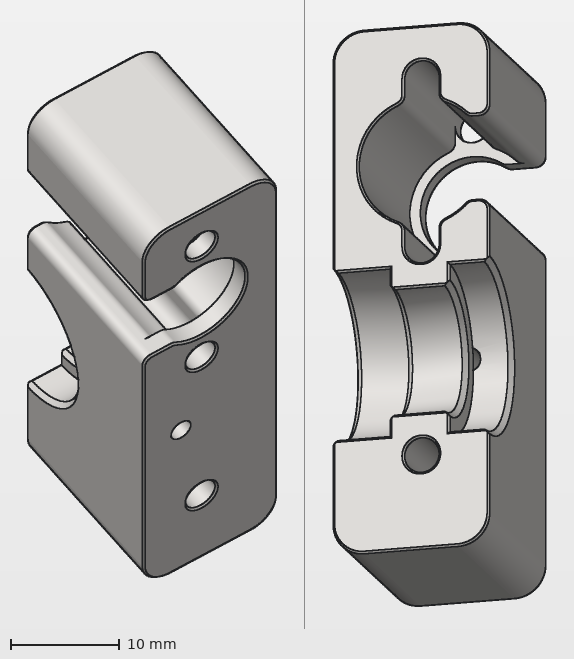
import cadquery as cq

split_axis_x = 0.0
parting_gap = 0.1
back_x = 19.0
width = 15.0
height = 50.0
corner_radius = 3.0
edge_chamfer = 0.2
front_x = split_axis_x + parting_gap
length = back_x - front_x

bearing_z = 19.0
bearing_radius = 8.0
ridge_radius = 6.0
ridge_front_y = -3.7
ridge_back_y = 2.05
bore_chamfer = 0.5

hole_y = -1.0
rod_z = 37.0
pocket_radius = 6.0
lip_thickness = 2.0
lip_bore_radius = 5.0
mouth_half_height = 4.0
mouth_fillet = 1.0
junction_fillet = 1.0

screw_radius = 1.65
screw_offset = 8.0
lower_screw_z = 9.0

vent_radius = 1.1
vent_y = -3.3
vent_z = 20.0


def rod_along_x(y, z, radius, start, end):
    """Solid cylinder along X from start to end."""
    return cq.Workplane("YZ", origin=(start, y, z)).circle(radius).extrude(end - start)


def box_between(x_range, y_range, z_range):
    """Solid box spanning the given ranges."""
    corner = (x_range[0], y_range[0], z_range[0])
    sizes = [high - low for low, high in (x_range, y_range, z_range)]
    return cq.Workplane("XY", origin=corner).box(*sizes, centered=False)


def ring_along_y(start_y, start_radius, end_y, end_radius):
    """Solid cylinder or cone on the bearing axis."""
    profile = [(0, start_y), (start_radius, start_y), (end_radius, end_y), (0, end_y)]
    return (
        cq.Workplane("XY", origin=(split_axis_x, 0, bearing_z))
        .polyline(profile)
        .close()
        .revolve(360, (0, 0, 0), (0, 1, 0))
    )


def make_block():
    middle = (front_x + length / 2, 0, height / 2)
    return cq.Workplane("XY", origin=middle).box(length, width, height).edges("|X").fillet(corner_radius)


def make_mouth(start, end):
    """Opening from the rod axis out through the -Y side."""
    return box_between(
        (start, end),
        (-width / 2, hole_y),
        (rod_z - mouth_half_height, rod_z + mouth_half_height),
    )


def fillet_junctions(cavity):
    """Round the lengthwise edges where the mouth and slots run into the round cavity."""
    junctions = cq.selectors.BoxSelector(
        (front_x, hole_y - pocket_radius, rod_z - pocket_radius),
        (back_x, hole_y + pocket_radius / 2, rod_z + pocket_radius),
    )
    return cavity.edges("|X").edges(junctions).fillet(junction_fillet)


def make_pocket():
    """Rod clearance with its mouth and a slot out to each neighbouring screw hole."""
    end_x = back_x - lip_thickness
    slot = box_between(
        (front_x, end_x),
        (hole_y - screw_radius, hole_y + screw_radius),
        (rod_z - screw_offset, rod_z + screw_offset),
    )
    round_cavity = rod_along_x(hole_y, rod_z, pocket_radius, front_x, end_x)
    return fillet_junctions(round_cavity.union(slot).union(make_mouth(front_x, end_x)))


def make_lip_bore():
    """Smaller bore and its mouth through the lip."""
    start_x = back_x - lip_thickness
    bore = rod_along_x(hole_y, rod_z, lip_bore_radius, start_x, back_x)
    return fillet_junctions(bore.union(make_mouth(start_x, back_x)))


def cut_rod_seat(body):
    body = body.cut(make_pocket()).cut(make_lip_bore())
    mouth_corners = cq.selectors.BoxSelector(
        (front_x, -width / 2 - 0.5, rod_z - mouth_half_height - 0.5),
        (back_x, -width / 2 + 0.5, rod_z + mouth_half_height + 0.5),
    )
    return body.edges("|X").edges(mouth_corners).fillet(mouth_fillet)


def cut_screw_holes(body):
    for screw_z in (lower_screw_z, rod_z - screw_offset, rod_z + screw_offset):
        body = body.cut(rod_along_x(hole_y, screw_z, screw_radius, front_x, back_x))
    return body


def cut_bearing_bore(body):
    seats = [(-width / 2, ridge_front_y), (ridge_back_y, width / 2)]
    for seat_start, seat_end in seats:
        body = body.cut(ring_along_y(seat_start, bearing_radius, seat_end, bearing_radius))
    return body.cut(ring_along_y(ridge_front_y, ridge_radius, ridge_back_y, ridge_radius))


def chamfer_bearing_bore(body):
    """Conical chamfers, each widest at its wide_y end and narrowing along step."""
    rims = [
        (-width / 2, 1, bearing_radius),
        (ridge_front_y, 1, ridge_radius),
        (ridge_back_y, -1, ridge_radius),
        (width / 2, -1, bearing_radius),
    ]
    for wide_y, step, radius in rims:
        narrow_y = wide_y + step * bore_chamfer
        body = body.cut(ring_along_y(wide_y, radius + bore_chamfer, narrow_y, radius))
    return body


def cut_vent(body):
    """Drill from the back only as far as the bearing seat surface, leaving the ridge whole."""
    drill = rod_along_x(vent_y, vent_z, vent_radius, split_axis_x, back_x)
    seat_space = ring_along_y(-width / 2, bearing_radius, width / 2, bearing_radius)
    return body.cut(drill.cut(seat_space))


result = make_block()
result = cut_rod_seat(result)
result = cut_screw_holes(result)
result = cut_bearing_bore(result)
result = result.faces("<X or >X").edges().chamfer(edge_chamfer)
result = chamfer_bearing_bore(result)
result = cut_vent(result)